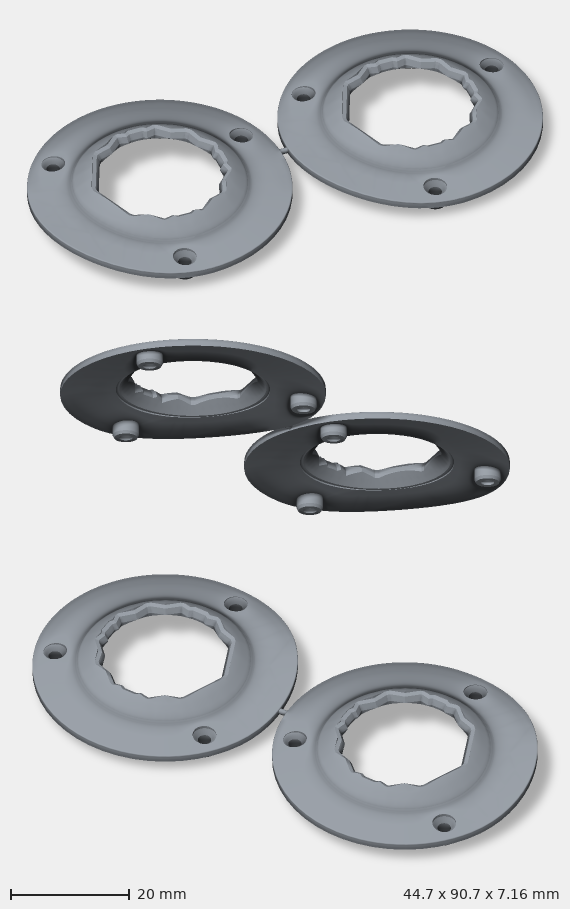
import cadquery as cq
import math

CUT_REACH = 10.0
QUADRANT = 90.0

DISC_DIAMETER = 44.73
DISC_RADIUS = DISC_DIAMETER / 2
DISC_SPACING = 46.0
DISC_STEP = 0.48

FLANGE_THICKNESS = 1.25
FLANGE_RISE = 0.75
FLANGE_INNER_RADIUS = 13.0
RIM_FILLET = 0.2
WAVE_HEIGHT = 1.3
WAVE_FADE_POWER = 3
WAVE_CENTRE = -60.0
WAVE_HALF_WIDTH = 62.0
EDGE_MARGIN = 0.4
SURFACE_STEP = 1.5
SURFACE_HALF_COUNT = 16
SURFACE_TOLERANCE = 0.02

HUB_BASE_RADIUS = 15.1
HUB_FOOT_RADIUS = 15.7
HUB_FOOT_Z = 1.25
HUB_SHOULDER_RADIUS = 13.1
HUB_SHOULDER_Z = 3.85
HUB_CROWN_RADIUS = 10.0
HUB_CROWN_Z = 5.6
HUB_INNER_FOOT_RADIUS = 12.4
HUB_INNER_CROWN_Z = 3.4
HUB_FILLET = 1.0

CORNER_RADIUS = 10.9
CORNER_HALF_ANGLE = 1.6
FACET_RADIUS = 10.1
NOTCH_RADIUS = 11.0
TOOTH_RADIUS = 10.35
NOTCH_FLOOR_RADIUS = 10.65
FACET_ANGLE = 31.0
NOTCH_ANGLE = 17.0
TOOTH_ANGLE = 9.5
NOTCH_FLOOR_ANGLE = 6.0
OPENING_TURN = -2.5
PLAIN_QUADRANT = 3
OPENING_SECTIONS = (
    (-1.0, 1.0),
    (3.3, 1.0),
    (4.3, 1.05),
    (4.55, 1.115),
    (6.0, 1.14),
)

PEG_DIAMETER = 4.46
PEG_BOTTOM_Z = -1.7
PEG_CHAMFER_HEIGHT = 0.5
PEG_CHAMFER_WIDTH = 0.27
PEG_CIRCLE_RADIUS = 18.75
PEG_ANGLES = (-10.6, 109.4, 229.4)
SCREW_DIAMETER = 2.25
SINK_DIAMETER = 4.0
SINK_DEPTH = 1.1
SINK_LIP_DEPTH = 0.3

SPRUE_DIAMETER = 1.0
SPRUE_X = -0.58
SPRUE_Z = 1.2
SPRUE_OVERLAP = 0.6


def polar(radius, angle):
    a = math.radians(angle)
    return radius * math.cos(a), radius * math.sin(a)


def wave(x, y):
    """Height the wave adds to the flange at a point."""
    offset = math.remainder(math.degrees(math.atan2(y, x)) - WAVE_CENTRE, 360)
    if abs(offset) >= WAVE_HALF_WIDTH:
        return 0.0
    crest = math.cos(math.pi / 2 * offset / WAVE_HALF_WIDTH) ** 2
    return WAVE_HEIGHT * crest * (math.hypot(x, y) / DISC_RADIUS) ** WAVE_FADE_POWER


def flange_top(x, y):
    """Height of the flange's upper surface at a point."""
    inward = (DISC_RADIUS - math.hypot(x, y)) / (DISC_RADIUS - HUB_BASE_RADIUS)
    return FLANGE_THICKNESS + FLANGE_RISE * inward + wave(x, y)


def upper_edge(radius):
    """Selects the wavy edge of about this radius on the upper side of the flange."""
    low = flange_top(radius, 0) - EDGE_MARGIN
    high = low + WAVE_HEIGHT + 2 * EDGE_MARGIN
    outer, inner = [
        cq.selectors.BoxSelector((-reach, -reach, low), (reach, reach, high), boundingbox=True)
        for reach in (radius + EDGE_MARGIN, radius - EDGE_MARGIN)
    ]
    return outer - inner


def flange():
    ticks = [SURFACE_STEP * i for i in range(-SURFACE_HALF_COUNT, SURFACE_HALF_COUNT + 1)]
    grid = [[cq.Vector(x, y, flange_top(x, y)) for y in ticks] for x in ticks]
    top = cq.Face.makeSplineApprox(grid, tol=SURFACE_TOLERANCE, minDeg=3, maxDeg=5)
    slab = cq.Solid.extrudeLinear(top, cq.Vector(0, 0, -FLANGE_THICKNESS))
    ring = (
        cq.Workplane("XY", origin=(0, 0, -CUT_REACH))
        .circle(DISC_RADIUS)
        .circle(FLANGE_INNER_RADIUS)
        .extrude(2 * CUT_REACH)
    )
    plate = ring.intersect(cq.Workplane(slab))
    return plate.edges(upper_edge(DISC_RADIUS)).fillet(RIM_FILLET)


def hub():
    return (
        cq.Workplane("XZ")
        .moveTo(HUB_INNER_FOOT_RADIUS, HUB_FOOT_Z)
        .lineTo(HUB_FOOT_RADIUS, HUB_FOOT_Z)
        .threePointArc((HUB_SHOULDER_RADIUS, HUB_SHOULDER_Z), (HUB_CROWN_RADIUS, HUB_CROWN_Z))
        .lineTo(HUB_CROWN_RADIUS, HUB_INNER_CROWN_Z)
        .close()
        .revolve(360, (0, 0, 0), (0, 1, 0))
        .cut(opening())
    )


def opening_outline():
    half = [
        (NOTCH_FLOOR_RADIUS, NOTCH_FLOOR_ANGLE),
        (TOOTH_RADIUS, TOOTH_ANGLE),
        (NOTCH_RADIUS, NOTCH_ANGLE),
        (FACET_RADIUS, FACET_ANGLE),
    ]
    plain_half = [(CORNER_RADIUS, CORNER_HALF_ANGLE)]
    corner = (CORNER_RADIUS, QUADRANT / 2 - CORNER_HALF_ANGLE)
    points = []
    for quadrant in range(4):
        middle = OPENING_TURN + QUADRANT * quadrant
        side = (plain_half if quadrant == PLAIN_QUADRANT else half) + [corner]
        points += [polar(r, middle - a) for r, a in reversed(side)]
        points += [polar(r, middle + a) for r, a in side]
    return points


def opening():
    outline = opening_outline()
    wires = []
    for z, scale in OPENING_SECTIONS:
        corners = [cq.Vector(x * scale, y * scale, z) for x, y in outline]
        wires.append(cq.Wire.makePolygon(corners, close=True))
    return cq.Workplane(cq.Solid.makeLoft(wires, True))


def peg(x, y):
    radius = PEG_DIAMETER / 2
    top = flange_top(x, y) - FLANGE_THICKNESS / 2
    tip = cq.Solid.makeCone(
        radius - PEG_CHAMFER_WIDTH, radius, PEG_CHAMFER_HEIGHT, cq.Vector(x, y, PEG_BOTTOM_Z)
    )
    shank_z = PEG_BOTTOM_Z + PEG_CHAMFER_HEIGHT
    shank = cq.Solid.makeCylinder(radius, top - shank_z, cq.Vector(x, y, shank_z))
    return tip.fuse(shank)


def screw_hole(x, y):
    bore_radius = SCREW_DIAMETER / 2
    sink_radius = SINK_DIAMETER / 2
    lip_z = flange_top(x, y) - SINK_LIP_DEPTH
    cone_depth = SINK_DEPTH - SINK_LIP_DEPTH
    bore = cq.Solid.makeCylinder(bore_radius, 2 * CUT_REACH, cq.Vector(x, y, -CUT_REACH))
    cone = cq.Solid.makeCone(bore_radius, sink_radius, cone_depth, cq.Vector(x, y, lip_z - cone_depth))
    lip = cq.Solid.makeCylinder(sink_radius, CUT_REACH, cq.Vector(x, y, lip_z))
    return bore.fuse(cone, lip)


def disc():
    body = flange()
    for angle in PEG_ANGLES:
        x, y = polar(PEG_CIRCLE_RADIUS, angle)
        body = body.union(cq.Workplane(peg(x, y))).cut(cq.Workplane(screw_hole(x, y)))
    body = body.union(hub())
    return body.edges(upper_edge(HUB_BASE_RADIUS)).fillet(HUB_FILLET)


def sprue():
    gap = DISC_SPACING - DISC_DIAMETER
    return (
        cq.Workplane("XZ", origin=(SPRUE_X, gap / 2 + SPRUE_OVERLAP, SPRUE_Z))
        .circle(SPRUE_DIAMETER / 2)
        .extrude(gap + 2 * SPRUE_OVERLAP)
    )


one = disc()
far_disc = one.translate((0, DISC_SPACING / 2, 0))
near_disc = one.translate((0, -DISC_SPACING / 2, DISC_STEP))
result = far_disc.union(near_disc).union(sprue())